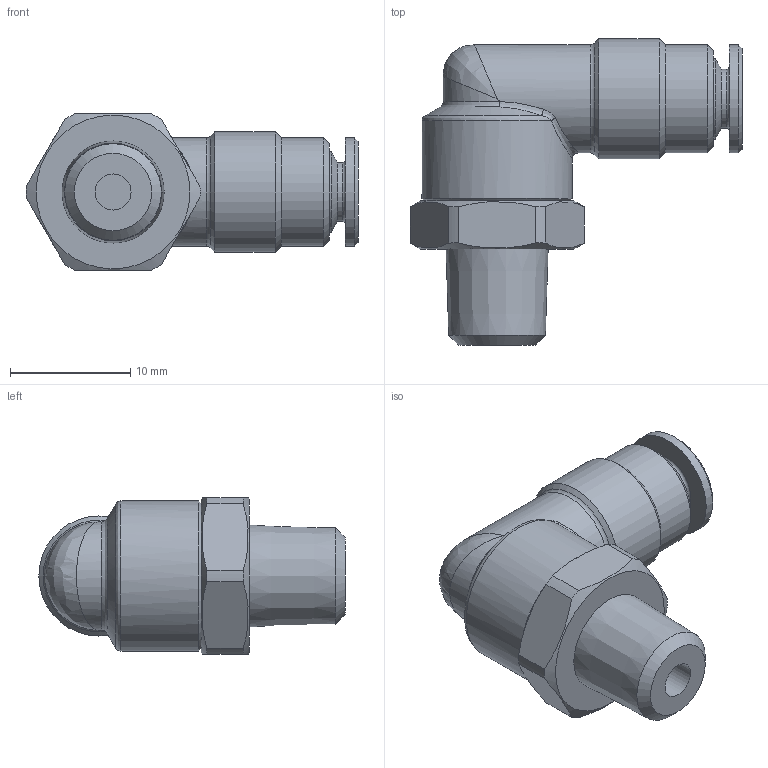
import cadquery as cq
import math

ORIGIN = (0, 0, 0)
HOSE_AXIS = (1, 0, 0)
STEM_AXIS = (0, 1, 0)
BLEND_R = 0.5

TUBE_R = 4.5
KNUCKLE_ANGLE = math.radians(45)
ELBOW_REACH = 8.0

COLLAR_R = 5.0
COLLAR_START_X = 8.45
COLLAR_END_X = 14.0
SOCKET_END_X = 18.0
SOCKET_CHAMFER = 0.5
COLLAR_STEP = COLLAR_R - TUBE_R

BUTTON_FLANGE_X = 19.34
BUTTON_FLANGE_LENGTH = 1.05
BUTTON_END_X = BUTTON_FLANGE_X + BUTTON_FLANGE_LENGTH
BUTTON_FLANGE_R = 4.5
BUTTON_CHAMFER = 0.3
BUTTON_BLEND_R = 0.25
GUIDE_R = 3.35
GUIDE_LENGTH = 0.17
NECK_R = 2.45
NECK_CONE_LENGTH = 0.5

BODY_R = 6.25
SHOULDER_TOP_Y = -0.54
SHOULDER_ANGLE = math.radians(60)
BODY_CHAMFER = 0.2

NUT_TOP_Y = -8.5
NUT_LENGTH = 4.0
NUT_FLATS = 13.0
NUT_CORNER_R = 7.25
NUT_FACE_R = 6.4
NUT_CHAMFER_ANGLE = math.radians(30)
NUT_BOTTOM_Y = NUT_TOP_Y - NUT_LENGTH

STEM_LENGTH = 8.0
STEM_ROOT_R = 4.25
TAPER = 1 / 16
STEM_CHAMFER = 0.8
STEM_END_Y = NUT_BOTTOM_Y - STEM_LENGTH
BORE_R = 1.5
BORE_FLOOR_Y = NUT_BOTTOM_Y


def make_sector(*points):
    """Thick plate that bounds one part of the elbow, from its outline in XY."""
    return cq.Workplane("XY").polyline(points).close().extrude(ELBOW_REACH, both=True)


def make_elbow():
    """Two cylinders meeting in a mitre, their outer corner rounded by an ellipsoid tangent to both."""
    reach = ELBOW_REACH
    slope = math.tan(KNUCKLE_ANGLE / 2)
    origin = (0, 0)
    hose_ray = (-reach * slope, reach)
    stem_ray = (-reach, reach * slope)
    outer_corner = (-reach, reach)
    inner_corner = (reach, -reach)
    knuckle_sector = make_sector(origin, hose_ray, outer_corner, stem_ray)
    hose_sector = make_sector(origin, hose_ray, (reach, reach), inner_corner)
    stem_sector = make_sector(origin, stem_ray, (-reach, -reach), inner_corner)

    hose_tube = cq.Workplane("YZ").workplane(offset=-reach).circle(TUBE_R).extrude(2 * reach)
    stem_depth = TUBE_R / 2
    stem_tube = cq.Workplane("XZ").workplane(offset=-reach).circle(TUBE_R).extrude(reach + stem_depth)

    along = math.sqrt(1 + slope)
    across = math.sqrt(slope * (1 + slope))
    stretch = cq.Matrix([[along, 0, 0, 0], [0, across, 0, 0], [0, 0, 1, 0], [0, 0, 0, 1]])
    ellipsoid = cq.Workplane("XY").sphere(TUBE_R).val().transformGeometry(stretch)
    diagonal_angle = 135
    ellipsoid = ellipsoid.rotate(ORIGIN, (0, 0, 1), diagonal_angle)

    knuckle = knuckle_sector.intersect(cq.Workplane(ellipsoid))
    hose_arm = hose_tube.intersect(hose_sector)
    stem_arm = stem_tube.intersect(stem_sector)
    return knuckle.union(hose_arm).union(stem_arm)


def make_body():
    """Body of revolution below the elbow, with a conical shoulder rounded at its rim."""
    shoulder_fall = (BODY_R - TUBE_R) / math.tan(SHOULDER_ANGLE)
    profile = [
        (0, SHOULDER_TOP_Y),
        (TUBE_R, SHOULDER_TOP_Y),
        (BODY_R, SHOULDER_TOP_Y - shoulder_fall),
        (BODY_R, NUT_TOP_Y + BODY_CHAMFER),
        (BODY_R - BODY_CHAMFER, NUT_TOP_Y),
        (0, NUT_TOP_Y),
    ]
    body = cq.Workplane("XY").polyline(profile).close().revolve(360, ORIGIN, STEM_AXIS)
    rim_y = SHOULDER_TOP_Y - shoulder_fall
    rim = cq.selectors.BoxSelector(
        (-BODY_R, rim_y - BLEND_R, -BODY_R), (BODY_R, rim_y + BLEND_R, BODY_R))
    return body.edges(rim).fillet(BLEND_R)


def blend_junction(elbow_and_body):
    """Round the inner corner all the way along the line where the elbow enters the body."""
    margin = 0.1
    low = (-TUBE_R - margin, -TUBE_R - margin, -TUBE_R - margin)
    high = (BODY_R + margin, SHOULDER_TOP_Y + margin, TUBE_R + margin)
    junction = cq.selectors.BoxSelector(low, high, boundingbox=True)
    return elbow_and_body.edges(junction).fillet(BLEND_R)


def blend_point(start, radius, angle):
    """Point on a concave arc that leaves start along +X and has turned outward by angle."""
    return (start[0] + radius * math.sin(angle), start[1] + radius * (1 - math.cos(angle)))


def make_socket():
    """Collar, hose socket and release button, revolved about X."""
    flank_angle = math.radians(45)
    full_rise = blend_point((0, 0), BLEND_R, flank_angle)
    collar_foot_x = COLLAR_START_X - (COLLAR_STEP - full_rise[1])
    tube_end = (collar_foot_x - full_rise[0], TUBE_R)
    collar_blend_mid = blend_point(tube_end, BLEND_R, flank_angle / 2)
    collar_foot = blend_point(tube_end, BLEND_R, flank_angle)
    guide_end = SOCKET_END_X + GUIDE_LENGTH
    neck_end = (BUTTON_FLANGE_X - BUTTON_BLEND_R, NECK_R)
    button_blend_mid = blend_point(neck_end, BUTTON_BLEND_R, math.radians(45))
    button_blend_end = blend_point(neck_end, BUTTON_BLEND_R, math.radians(90))
    return (
        cq.Workplane("XY")
        .moveTo(tube_end[0], 0)
        .lineTo(*tube_end)
        .threePointArc(collar_blend_mid, collar_foot)
        .lineTo(COLLAR_START_X, COLLAR_R)
        .lineTo(COLLAR_END_X - COLLAR_STEP, COLLAR_R)
        .lineTo(COLLAR_END_X, TUBE_R)
        .lineTo(SOCKET_END_X - SOCKET_CHAMFER, TUBE_R)
        .lineTo(SOCKET_END_X, TUBE_R - SOCKET_CHAMFER)
        .lineTo(SOCKET_END_X, GUIDE_R)
        .lineTo(guide_end, GUIDE_R)
        .lineTo(guide_end + NECK_CONE_LENGTH, NECK_R)
        .lineTo(*neck_end)
        .threePointArc(button_blend_mid, button_blend_end)
        .lineTo(BUTTON_FLANGE_X, BUTTON_FLANGE_R)
        .lineTo(BUTTON_END_X - BUTTON_CHAMFER, BUTTON_FLANGE_R)
        .lineTo(BUTTON_END_X, BUTTON_FLANGE_R - BUTTON_CHAMFER)
        .lineTo(BUTTON_END_X, 0)
        .close()
        .revolve(360, ORIGIN, HOSE_AXIS)
    )


def make_nut():
    """Hexagon with flats facing +Z and -Z, turned and chamfered at both ends."""
    corner_diameter = NUT_FLATS / math.cos(math.pi / 6)
    top_plane = cq.Workplane("XZ").workplane(offset=-NUT_TOP_Y)
    hexagon = top_plane.polygon(6, corner_diameter).extrude(NUT_LENGTH)
    chamfer_drop = (NUT_CORNER_R - NUT_FACE_R) * math.tan(NUT_CHAMFER_ANGLE)
    profile = [
        (0, NUT_TOP_Y),
        (NUT_FACE_R, NUT_TOP_Y),
        (NUT_CORNER_R, NUT_TOP_Y - chamfer_drop),
        (NUT_CORNER_R, NUT_BOTTOM_Y + chamfer_drop),
        (NUT_FACE_R, NUT_BOTTOM_Y),
        (0, NUT_BOTTOM_Y),
    ]
    turned = cq.Workplane("XY").polyline(profile).close().revolve(360, ORIGIN, STEM_AXIS)
    return hexagon.intersect(turned)


def make_stem():
    """Tapered stem with a chamfered tip and a blind bore from its end."""
    taper_length = STEM_LENGTH - STEM_CHAMFER
    tip_r = STEM_ROOT_R - taper_length * TAPER / 2
    profile = [
        (BORE_R, BORE_FLOOR_Y),
        (STEM_ROOT_R, NUT_BOTTOM_Y),
        (tip_r, STEM_END_Y + STEM_CHAMFER),
        (tip_r - STEM_CHAMFER, STEM_END_Y),
        (BORE_R, STEM_END_Y),
    ]
    return cq.Workplane("XY").polyline(profile).close().revolve(360, ORIGIN, STEM_AXIS)


elbow = blend_junction(make_elbow().union(make_body()))
result = elbow.union(make_socket()).union(make_nut()).union(make_stem())